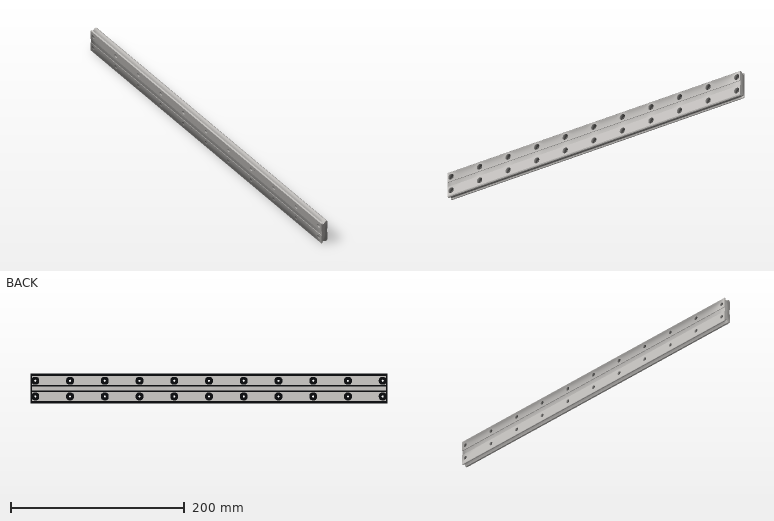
import cadquery as cq

length = 410.0
thickness = 9.0
height = 33.0

flange_thickness = 1.5
flange_chamfer = 0.5
channel_floor = 2.0
channel_depth = 2.5
channel_slope = 2.25
bead_chamfer = 1.02
bead_drop = 0.2

groove_width = 6.0
groove_depth = 0.6

holes_per_row = 11
end_distance = 5.0
row_offset = 9.0
hole_diameter = 4.5
counterbore_diameter = 7.5
counterbore_depth = 5.5

front = -thickness / 2
back = thickness / 2
half_height = height / 2


def make_profile():
    """Closed rail section in the YZ plane, symmetric about Z = 0."""
    flange_back = front + flange_thickness
    floor_back = flange_back + channel_floor
    floor_height = half_height - channel_depth
    bead_front = floor_back + channel_slope
    bead_height = half_height - bead_drop
    half_groove = groove_width / 2
    upper_half = [
        (front + groove_depth, half_groove),
        (front, half_groove),
        (front, half_height - flange_chamfer),
        (front + flange_chamfer, half_height),
        (flange_back, half_height),
        (flange_back, floor_height),
        (floor_back, floor_height),
        (bead_front, bead_height),
        (back - bead_chamfer, bead_height),
        (back, bead_height - bead_chamfer),
        (back, half_groove),
        (back - groove_depth, half_groove),
    ]
    lower_half = [(y, -z) for y, z in reversed(upper_half)]
    return cq.Workplane("YZ", origin=(-length / 2, 0, 0)).polyline(upper_half + lower_half).close()


def drill_holes(rail):
    """Through holes counterbored from the back face."""
    pitch = (length - 2 * end_distance) / (holes_per_row - 1)
    return (
        rail.copyWorkplane(cq.Workplane("XZ", origin=(0, back, 0)).transformed(rotate=(0, 180, 0)))
        .rarray(pitch, 2 * row_offset, holes_per_row, 2)
        .cboreHole(hole_diameter, counterbore_diameter, counterbore_depth)
    )


result = drill_holes(make_profile().extrude(length))